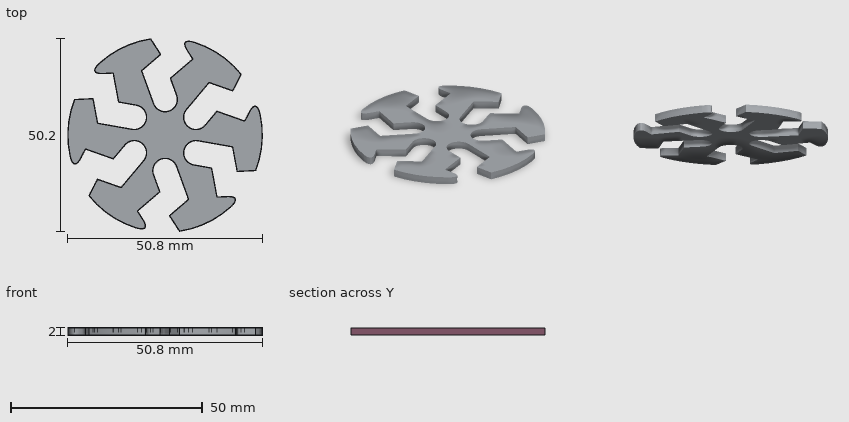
import cadquery as cq
import math

THICKNESS = 2.0
OUTER_RADIUS = 25.4
SLOT_COUNT = 6
SLOT_WIDTH = 6.35
SLOT_END_RADIUS = 9.29
INNER_RUN = 6.93
MIDDLE_RUN = 7.12
INNER_HEADING = 110.0
MIDDLE_HEADING = 40.6
MOUTH_HEADING = 122.9
LIP_RIM_BEARING = 72.4
LIP_WALL_LENGTH = 2.5
LIP_TIP_BEARING = 77.76
LIP_TIP_RADIUS = 24.71

HALF_WIDTH = SLOT_WIDTH / 2
SLOT_PITCH = 360.0 / SLOT_COUNT
DISC_CENTRE = (0.0, 0.0)


def step(point, heading, distance):
    """Point reached by going a distance along a heading."""
    angle = math.radians(heading)
    return (point[0] + distance * math.cos(angle), point[1] + distance * math.sin(angle))


def along_and_across(point, heading):
    """Coordinates of a point along a heading and to the left of it."""
    cosine = math.cos(math.radians(heading))
    sine = math.sin(math.radians(heading))
    return point[0] * cosine + point[1] * sine, point[1] * cosine - point[0] * sine


def wall_points(point, heading_in, heading_out):
    """Left and right wall corners where the centreline bends at a point."""
    mean_heading = (heading_in + heading_out) / 2
    half_turn = math.radians(heading_out - heading_in) / 2
    reach = HALF_WIDTH / math.cos(half_turn)
    return step(point, mean_heading + 90, reach), step(point, mean_heading - 90, reach)


def run_to_rim(point, heading):
    """Point where a straight wall from a point meets the rim."""
    along, across = along_and_across(point, heading)
    return step(point, heading, math.sqrt(OUTER_RADIUS**2 - across**2) - along)


def turned(point, angle):
    """Point rotated about the disc centre."""
    bearing = math.degrees(math.atan2(point[1], point[0]))
    return step(DISC_CENTRE, bearing + angle, math.hypot(*point))


slot_end = (0.0, SLOT_END_RADIUS)
first_bend = step(slot_end, INNER_HEADING, INNER_RUN)
second_bend = step(first_bend, MIDDLE_HEADING, MIDDLE_RUN)

left_start, right_start = wall_points(slot_end, INNER_HEADING, INNER_HEADING)
round_bottom = step(slot_end, INNER_HEADING + 180, HALF_WIDTH)
left_first, right_first = wall_points(first_bend, INNER_HEADING, MIDDLE_HEADING)
left_second, right_second = wall_points(second_bend, MIDDLE_HEADING, MOUTH_HEADING)
left_rim = run_to_rim(left_second, MOUTH_HEADING)

lip_rim = step(DISC_CENTRE, LIP_RIM_BEARING, OUTER_RADIUS)
lip_tip = step(DISC_CENTRE, LIP_TIP_BEARING, LIP_TIP_RADIUS)
lip_wall = step(right_second, MOUTH_HEADING, LIP_WALL_LENGTH)

left_rim_bearing = math.degrees(math.atan2(left_rim[1], left_rim[0]))
rim_middle_bearing = (left_rim_bearing + LIP_RIM_BEARING + SLOT_PITCH) / 2
rim_middle = step(DISC_CENTRE, rim_middle_bearing, OUTER_RADIUS)
next_lip_rim = step(DISC_CENTRE, LIP_RIM_BEARING + SLOT_PITCH, OUTER_RADIUS)


def add_slot_and_rim(outline, angle):
    """Trace one slot from its lip, then the rim up to the next lip."""
    leave_rim = step(DISC_CENTRE, LIP_RIM_BEARING + 90 + angle, 1)
    join_wall = step(DISC_CENTRE, MOUTH_HEADING + 180 + angle, 1)
    outline = outline.spline(
        [turned(lip_tip, angle), turned(lip_wall, angle)],
        tangents=[leave_rim, join_wall],
        includeCurrent=True,
    )
    for corner in (right_second, right_first, right_start):
        outline = outline.lineTo(*turned(corner, angle))
    outline = outline.threePointArc(turned(round_bottom, angle), turned(left_start, angle))
    for corner in (left_first, left_second, left_rim):
        outline = outline.lineTo(*turned(corner, angle))
    return outline.threePointArc(turned(rim_middle, angle), turned(next_lip_rim, angle))


def make_wheel():
    """Flat six-armed wheel, extruded up from its outline."""
    outline = cq.Workplane("XY").moveTo(*lip_rim)
    for index in range(SLOT_COUNT):
        outline = add_slot_and_rim(outline, index * SLOT_PITCH)
    return outline.close().extrude(THICKNESS)


result = make_wheel()